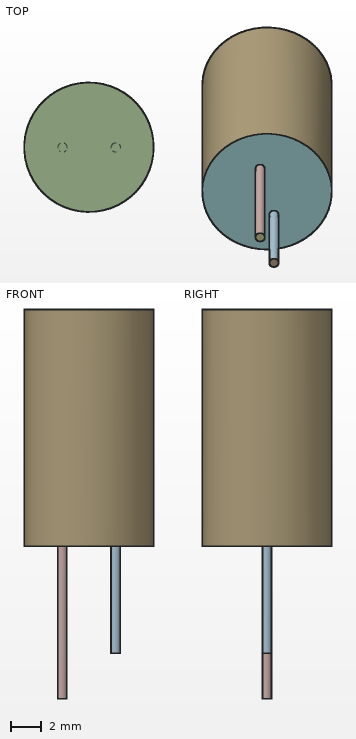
import cadquery as cq

overall_height = 25.5
can_diameter = 8.5
long_lead_length = 10.0
short_lead_length = 7.0
lead_diameter = 0.6
lead_pitch = 3.5

can_height = overall_height - long_lead_length


def make_can():
    """Plain cylindrical can standing on the XY plane."""
    return cq.Workplane("XY").circle(can_diameter / 2).extrude(can_height)


def make_lead(x, length):
    """Round wire lead hanging from the bottom face of the can."""
    return cq.Workplane("XY").center(x, 0).circle(lead_diameter / 2).extrude(-length)


can = make_can()

lead_places = [(-lead_pitch / 2, long_lead_length), (lead_pitch / 2, short_lead_length)]
leads = []
for lead_x, lead_length in lead_places:
    leads.append(make_lead(lead_x, lead_length).val())

result = cq.Compound.makeCompound([can.val(), *leads])